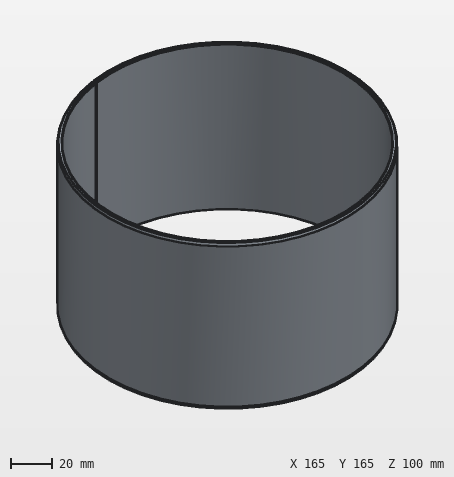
import cadquery as cq

outer_diameter = 165.0
wall_thickness = 2.5
length = 100.0
outer_chamfer_length = 1.6
outer_chamfer_depth = 0.7
inner_chamfer = 0.3
slit_width = 1.3

outer_radius = outer_diameter / 2
inner_radius = outer_radius - wall_thickness
half_length = length / 2


def make_sleeve():
    """Thin tube centred on the origin, chamfered on both rims outside and inside."""
    outer_rim_radius = outer_radius - outer_chamfer_depth
    inner_rim_radius = inner_radius + inner_chamfer
    outer_shoulder = half_length - outer_chamfer_length
    inner_shoulder = half_length - inner_chamfer
    wall_section = [
        (inner_rim_radius, -half_length),
        (outer_rim_radius, -half_length),
        (outer_radius, -outer_shoulder),
        (outer_radius, outer_shoulder),
        (outer_rim_radius, half_length),
        (inner_rim_radius, half_length),
        (inner_radius, inner_shoulder),
        (inner_radius, -inner_shoulder),
    ]
    return cq.Workplane("XZ").polyline(wall_section).close().revolve(360, (0, 0), (0, 1))


def make_slit():
    """Full-length slit through the wall on the -X side, with one face on the XZ plane."""
    slit = cq.Workplane("XY").box(outer_radius, slit_width, length, centered=(False, False, True))
    return slit.translate((-outer_radius, 0, 0))


result = make_sleeve().cut(make_slit())